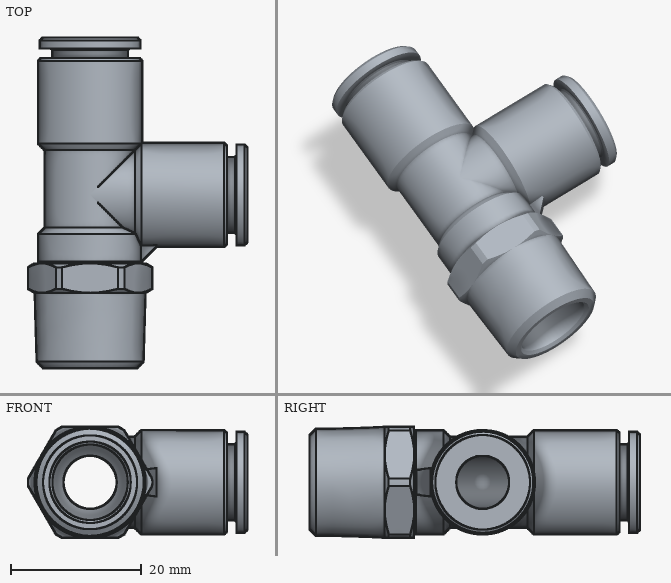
import cadquery as cq


waist_radius = 7.0
body_radius = 8.0
body_start = 7.85
body_end = 20.95
body_edge_chamfer = 0.45
neck_radius = 5.8
neck_flare = 0.2
collar_radius = 7.75
collar_start = 22.4
leg_end = 24.1
overall_length = 50.65
collar_chamfer = 0.5

band_start = -6.05
band_end = -10.5
band_edge_chamfer = 0.25

hex_flats = 17.0
hex_corner_radius = 9.5
hex_end = -15.0
hex_chamfer_drop = 0.6

thread_base_radius = 8.5
thread_tip_radius = 8.2
thread_end = leg_end - overall_length
thread_chamfer = 1

through_radius = 4.05
thread_bore_radius = 5.75
thread_bore_chamfer = 0.45
thread_bore_end = hex_end
thread_bore_floor_rise = 1

gusset_reach = 10.15
gusset_inner_half_width = 1.75
gusset_outer_half_width = 2.2


def turned_y(points):
    """Solid of revolution about Y from (radius, y) points that start and end on the axis."""
    return cq.Workplane("XY").polyline(points).close().revolve(360, (0, 0, 0), (0, 1, 0))


def push_in_leg():
    """Waist, socket body, neck and release collar pointing along +Y."""
    shoulder = body_radius - waist_radius
    return turned_y([
        (0, 0),
        (waist_radius, 0),
        (waist_radius, body_start - shoulder),
        (body_radius, body_start),
        (body_radius, body_end - body_edge_chamfer),
        (body_radius - body_edge_chamfer, body_end),
        (neck_radius, body_end),
        (neck_radius, collar_start - neck_flare),
        (neck_radius + neck_flare, collar_start),
        (collar_radius, collar_start),
        (collar_radius, leg_end - collar_chamfer),
        (collar_radius - collar_chamfer, leg_end),
        (0, leg_end),
    ])


def foot():
    """Lower waist and band between the axis crossing and the hexagon."""
    shoulder = body_radius - waist_radius
    return turned_y([
        (0, 0),
        (waist_radius, 0),
        (waist_radius, band_start + shoulder),
        (body_radius, band_start),
        (body_radius, band_end + band_edge_chamfer),
        (body_radius - band_edge_chamfer, band_end),
        (0, band_end),
    ])


def hexagon():
    """Hexagon with corners at +X and -X, rounded and chamfered by a turned envelope."""
    across_corners = hex_flats / 0.75 ** 0.5
    prism = (
        cq.Workplane("XZ", origin=(0, band_end, 0))
        .polygon(6, across_corners)
        .extrude(band_end - hex_end)
    )
    envelope = turned_y([
        (0, band_end),
        (hex_flats / 2, band_end),
        (hex_corner_radius, band_end - hex_chamfer_drop),
        (hex_corner_radius, hex_end + hex_chamfer_drop),
        (hex_flats / 2, hex_end),
        (0, hex_end),
    ])
    return prism.intersect(envelope)


def thread():
    """Tapered cylinder below the hexagon with a chamfered tip."""
    return turned_y([
        (0, hex_end),
        (thread_base_radius, hex_end),
        (thread_tip_radius, thread_end + thread_chamfer),
        (thread_tip_radius - thread_chamfer, thread_end),
        (0, thread_end),
    ])


def gusset():
    """Web in the corner of band and branch: 45 degree lower face, widening outwards."""
    drop = gusset_reach - body_radius
    profile = (
        cq.Workplane("XY", origin=(0, 0, -gusset_outer_half_width))
        .polyline([
            (waist_radius, -waist_radius),
            (gusset_reach, -waist_radius),
            (gusset_reach, -body_radius),
            (body_radius, -body_radius - drop),
            (waist_radius, -body_radius - drop),
        ])
        .close()
        .extrude(2 * gusset_outer_half_width)
    )
    plan = (
        cq.Workplane("XZ")
        .polyline([
            (waist_radius, -gusset_inner_half_width),
            (gusset_reach, -gusset_outer_half_width),
            (gusset_reach, gusset_outer_half_width),
            (waist_radius, gusset_inner_half_width),
        ])
        .close()
        .extrude(2 * body_radius)
    )
    return profile.intersect(plan)


def bores():
    """Through bore of the run with its wide thread-end bore, and the branch bore."""
    mouth_radius = thread_bore_radius + thread_bore_chamfer
    run = turned_y([
        (0, thread_end),
        (mouth_radius, thread_end),
        (thread_bore_radius, thread_end + thread_bore_chamfer),
        (thread_bore_radius, thread_bore_end),
        (through_radius, thread_bore_end + thread_bore_floor_rise),
        (through_radius, leg_end),
        (0, leg_end),
    ])
    branch = cq.Workplane("YZ").circle(through_radius).extrude(leg_end)
    return run.union(branch)


run_leg = push_in_leg()
branch_leg = push_in_leg().rotate((0, 0, 0), (0, 0, 1), -90)

result = (
    run_leg.union(branch_leg)
    .union(foot())
    .union(hexagon())
    .union(thread())
    .union(gusset())
    .cut(bores())
)